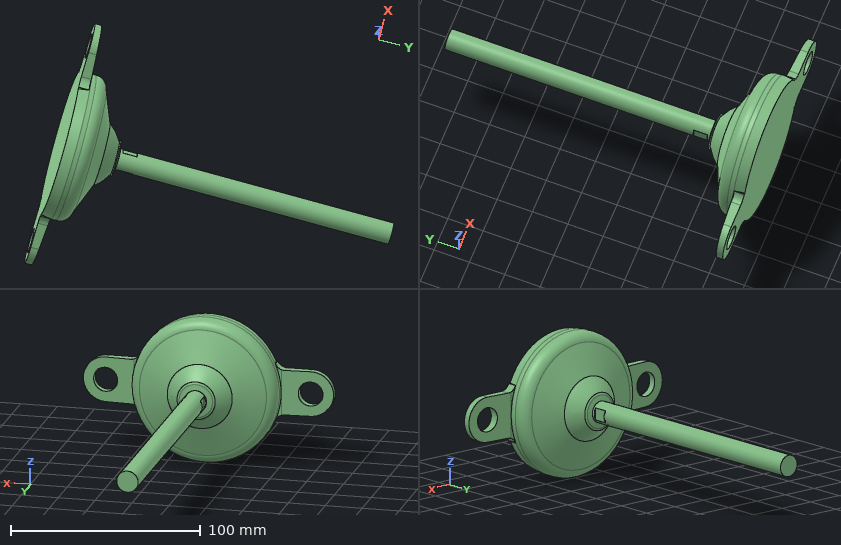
import cadquery as cq
import math

TOTAL_LENGTH = 181.5
TOTAL_WIDTH = 136.0

SOLE_RADIUS = 39.2
RIM_RADIUS = 40.02
RIM_BOTTOM = 6.0
RIM_TOP = 8.7
RIM_TOP_RADIUS = 39.7
SHOULDER_RADIUS = 34.5
SHOULDER_HEIGHT = 15.8
DOME_RADIUS = 17.6
DOME_BOTTOM = 22.7
DOME_MID_RADIUS = 14.2
DOME_MID_HEIGHT = 26.5
DOME_TOP_RADIUS = 9.0
DOME_TOP = 30.1

EAR_RADIUS = 12.3
EAR_CENTRE = TOTAL_WIDTH / 2 - EAR_RADIUS
EAR_HOLE_RADIUS = 6.5
EAR_ROOT_HEIGHT = 5.6
EAR_TIP_HEIGHT = 3.8
EAR_ROOT_FILLET = 5.5

STEM_RADIUS = 5.9
COLLAR_RADIUS = 10.3
COLLAR_RIM_HEIGHT = 30.7
COLLAR_FACE_RADIUS = 9.0
COLLAR_FACE_HEIGHT = 31.2
COLLAR_TOP = 31.8
FLAT_BOTTOM = 33.2
FLAT_TOP = 41.0
FLAT_DISTANCE = 4.9


def along_y(start):
    """Sketch plane at Y = start whose extrusions run along +Y."""
    return cq.Workplane("XZ", origin=(0, start, 0))


def make_base_body():
    """Sole, rounded rim, sloping shoulder and dome, revolved about Y."""
    corner_height = RIM_TOP + (SHOULDER_HEIGHT - RIM_TOP) * math.sin(math.radians(45))
    corner_reach = SHOULDER_RADIUS + (RIM_TOP_RADIUS - SHOULDER_RADIUS) * math.cos(math.radians(45))
    return (
        cq.Workplane("XY")
        .lineTo(SOLE_RADIUS, 0)
        .lineTo(RIM_RADIUS, RIM_BOTTOM)
        .lineTo(RIM_TOP_RADIUS, RIM_TOP)
        .threePointArc((corner_reach, corner_height), (SHOULDER_RADIUS, SHOULDER_HEIGHT))
        .lineTo(DOME_RADIUS, DOME_BOTTOM)
        .threePointArc((DOME_MID_RADIUS, DOME_MID_HEIGHT), (DOME_TOP_RADIUS, DOME_TOP))
        .lineTo(0, DOME_TOP)
        .close()
        .revolve(360, (0, 0), (0, 1))
    )


def make_ears():
    """Two ears on a common plate, blended into the rim and thinning to the tips."""
    strap = along_y(0).slot2D(TOTAL_WIDTH, 2 * EAR_RADIUS).extrude(-EAR_ROOT_HEIGHT)
    plate = along_y(0).circle(RIM_RADIUS).extrude(-EAR_ROOT_HEIGHT).union(strap)
    root_x = math.sqrt(RIM_RADIUS**2 - EAR_RADIUS**2)
    for side_x in (-1, 1):
        for side_z in (-1, 1):
            root = (side_x * root_x, EAR_ROOT_HEIGHT / 2, side_z * EAR_RADIUS)
            plate = plate.edges(cq.NearestToPointSelector(root)).fillet(EAR_ROOT_FILLET)
    blend_end_z = (EAR_RADIUS + EAR_ROOT_FILLET) * RIM_RADIUS / (RIM_RADIUS + EAR_ROOT_FILLET)
    tip_x = TOTAL_WIDTH / 2
    slope = (
        cq.Workplane("XY")
        .polyline([
            (-tip_x, 0), (tip_x, 0), (tip_x, EAR_TIP_HEIGHT),
            (RIM_RADIUS, EAR_ROOT_HEIGHT), (-RIM_RADIUS, EAR_ROOT_HEIGHT), (-tip_x, EAR_TIP_HEIGHT),
        ])
        .close()
        .extrude(blend_end_z, both=True)
    )
    holes = (
        along_y(0)
        .pushPoints([(-EAR_CENTRE, 0), (EAR_CENTRE, 0)])
        .circle(EAR_HOLE_RADIUS)
        .extrude(-EAR_ROOT_HEIGHT)
    )
    return plate.intersect(slope).cut(holes)


def make_stem():
    """Sharp-rimmed collar resting on the dome and a round stem with two wrench flats."""
    collar = (
        cq.Workplane("XY", origin=(0, DOME_TOP, 0))
        .lineTo(COLLAR_FACE_RADIUS, 0)
        .lineTo(COLLAR_RADIUS, COLLAR_RIM_HEIGHT - DOME_TOP)
        .lineTo(COLLAR_FACE_RADIUS, COLLAR_FACE_HEIGHT - DOME_TOP)
        .lineTo(STEM_RADIUS, COLLAR_TOP - DOME_TOP)
        .lineTo(0, COLLAR_TOP - DOME_TOP)
        .close()
        .revolve(360, (0, 0), (0, 1))
    )
    shaft = along_y(DOME_TOP).circle(STEM_RADIUS).extrude(DOME_TOP - TOTAL_LENGTH)
    stem = collar.union(shaft)
    flat_depth = STEM_RADIUS - FLAT_DISTANCE
    for side in (-1, 1):
        cutter = (
            cq.Workplane("XY")
            .box(flat_depth, FLAT_TOP - FLAT_BOTTOM, 2 * STEM_RADIUS)
            .translate((side * (FLAT_DISTANCE + flat_depth / 2), (FLAT_BOTTOM + FLAT_TOP) / 2, 0))
        )
        stem = stem.cut(cutter)
    return stem


foot = make_base_body().union(make_ears())
stem = make_stem()

result = cq.Compound.makeCompound([foot.val(), stem.val()])